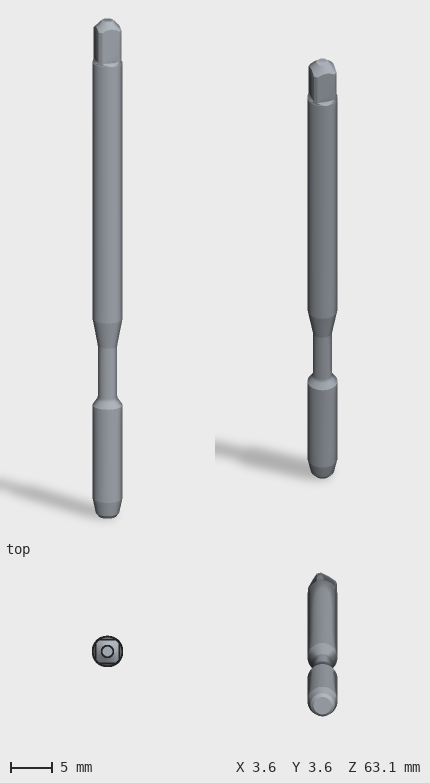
import cadquery as cq
import math

length = 63.1
shank_radius = 3.6 / 2
neck_radius = 2.35 / 2

tip_radius = 1.1
tip_chamfer_height = 0.45
lead_radius = 1.42
lead_top = 2.3
cutter_top = 14.15

lower_cone_angle = 35.0
upper_cone_angle = 10.5
blend_radius = 0.75
shank_bottom = 25.1

shoulder_top = 57.8
drive_radius = 3.55 / 2
shoulder_chamfer = shank_radius - drive_radius
across_flats = 2.85
flat_bottom = 58.1
top_face_radius = 0.7


def blend_points(angle, end_radius):
    """Return the arc from the neck into a cone: its midpoint and end
    offsets as (radial, axial) pairs, and the length of the cone beyond it."""
    slope = math.radians(angle)
    middle = (blend_radius * (1 - math.cos(slope / 2)), blend_radius * math.sin(slope / 2))
    end = (blend_radius * (1 - math.cos(slope)), blend_radius * math.sin(slope))
    cone_length = (end_radius - neck_radius - end[0]) / math.tan(slope)
    return middle, end, cone_length


def make_cutter():
    """Cutting end with its tapered lead and chamfered tip."""
    return (
        cq.Workplane("XZ")
        .moveTo(0, 0)
        .lineTo(tip_radius, 0)
        .lineTo(lead_radius, tip_chamfer_height)
        .lineTo(shank_radius, lead_top)
        .lineTo(shank_radius, cutter_top)
        .lineTo(0, cutter_top)
        .close()
        .revolve(360, (0, 0, 0), (0, 1, 0))
    )


def make_turned_shank():
    """Neck, shank and conical top before the drive flats are cut."""
    low_middle, low_end, low_cone = blend_points(lower_cone_angle, shank_radius)
    high_middle, high_end, high_cone = blend_points(upper_cone_angle, shank_radius)
    neck_bottom = cutter_top + low_cone + low_end[1]
    neck_top = shank_bottom - high_cone - high_end[1]
    return (
        cq.Workplane("XZ")
        .moveTo(0, cutter_top)
        .lineTo(shank_radius, cutter_top)
        .lineTo(neck_radius + low_end[0], neck_bottom - low_end[1])
        .threePointArc(
            (neck_radius + low_middle[0], neck_bottom - low_middle[1]),
            (neck_radius, neck_bottom),
        )
        .lineTo(neck_radius, neck_top)
        .threePointArc(
            (neck_radius + high_middle[0], neck_top + high_middle[1]),
            (neck_radius + high_end[0], neck_top + high_end[1]),
        )
        .lineTo(shank_radius, shank_bottom)
        .lineTo(shank_radius, shoulder_top - shoulder_chamfer)
        .lineTo(drive_radius, shoulder_top)
        .lineTo(drive_radius, length - (drive_radius - top_face_radius))
        .lineTo(top_face_radius, length)
        .lineTo(0, length)
        .close()
        .revolve(360, (0, 0, 0), (0, 1, 0))
    )


def make_flat_cutter():
    """Block that cuts the +X drive flat, with a 45 degree run-out at its foot."""
    inner = across_flats / 2
    outer = 2 * shank_radius
    return (
        cq.Workplane("XZ")
        .moveTo(inner, flat_bottom)
        .lineTo(outer, flat_bottom - (outer - inner))
        .lineTo(outer, length)
        .lineTo(inner, length)
        .close()
        .extrude(shank_radius, both=True)
    )


def make_shank():
    shank = make_turned_shank()
    for quarter in range(4):
        shank = shank.cut(make_flat_cutter().rotate((0, 0, 0), (0, 0, 1), 90 * quarter))
    return shank


cutter = make_cutter()
shank = make_shank()

result = cq.Compound.makeCompound([cutter.val(), shank.val()])